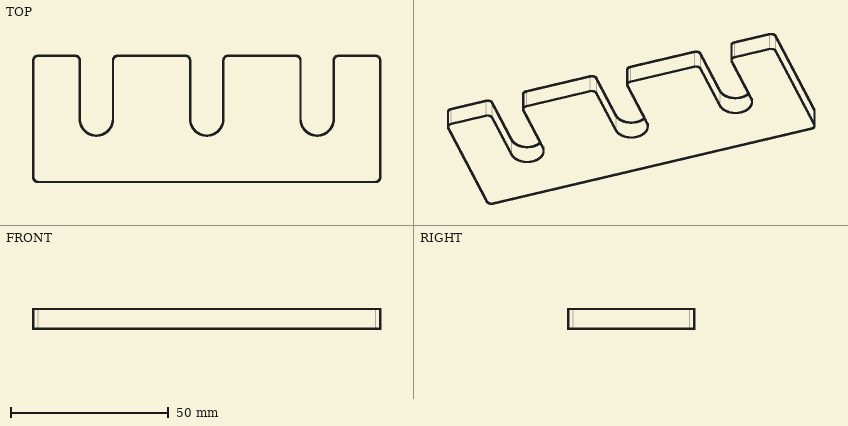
import cadquery as cq

length = 110.0
width = 40.0
thickness = 6.4
corner_radius = 1.5

slot_count = 3
slot_pitch = 35.0
slot_width = 10.5
slot_depth = 25.3

slot_radius = slot_width / 2
back_edge = width / 2
slot_end_y = back_edge - slot_depth + slot_radius


def slot_cutter(x):
    """Straight slot with a round inner end, open through the +Y edge."""
    return (
        cq.Workplane("XY")
        .moveTo(x - slot_radius, back_edge)
        .lineTo(x - slot_radius, slot_end_y)
        .threePointArc((x, slot_end_y - slot_radius), (x + slot_radius, slot_end_y))
        .lineTo(x + slot_radius, back_edge)
        .close()
        .extrude(thickness)
    )


plate = cq.Workplane("XY").box(length, width, thickness, centered=(True, True, False))
for index in range(slot_count):
    plate = plate.cut(slot_cutter((index - (slot_count - 1) / 2) * slot_pitch))

result = plate.faces("<Y or >Y").edges("|Z").fillet(corner_radius)